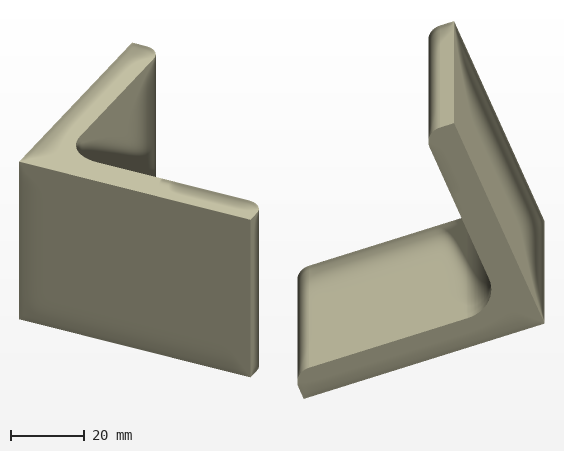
import cadquery as cq

leg_length = 70.0
leg_thickness = 9.0
length = 50.0
root_radius = 10.0
toe_radius = 5.0

section = (
    cq.Workplane("XY")
    .lineTo(leg_length, 0)
    .lineTo(leg_length, leg_thickness - toe_radius)
    .radiusArc((leg_length - toe_radius, leg_thickness), -toe_radius)
    .lineTo(leg_thickness + root_radius, leg_thickness)
    .radiusArc((leg_thickness, leg_thickness + root_radius), root_radius)
    .lineTo(leg_thickness, leg_length - toe_radius)
    .radiusArc((leg_thickness - toe_radius, leg_length), -toe_radius)
    .lineTo(0, leg_length)
    .close()
)

result = section.extrude(length)